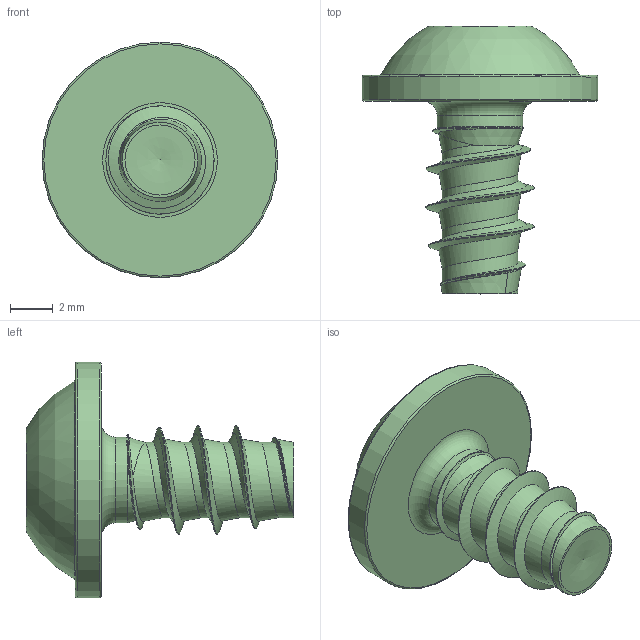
import cadquery as cq
import math


flange_radius = 5.5
flange_thickness = 1.2
flange_edge_round = 0.08
dome_height = 2.3
dome_base_radius = 4.65
dome_base_fillet = 0.06
dome_top_radius = 2.42

shank_length = 9.0
neck_radius = 2.0
neck_fillet = 0.68
neck_length = 1.24
neck_taper_end = 2.06
core_radius = 1.76

dimple_radius = 1.635
dimple_depth = 0.12

pitch = 1.8
crest_depth_at_zero = 2.26
crest_radius = 2.525
lead_in_start_turn = -1.0
ease_start_turn = -0.7
ease_end_turn = 2 * (neck_length - crest_depth_at_zero) / pitch - ease_start_turn
full_height_turn = 0.5
run_out_turn = 2.3
thread_end_turn = 3.65
lead_in_start_radius = 2.05
points_per_turn = 16

crest_half_flat = 0.02
shoulder_drop = 0.37
shoulder_offset = 0.1
root_offset = 0.35
root_drop = crest_radius - core_radius
foot_offset = 0.2
foot_radius = 1.92
foot_drop = crest_radius - foot_radius
tooth_overlap = 0.4
tooth_bottom_drop = root_drop + tooth_overlap

ramp_start_offset = 0.12
ramp_end_offset = 1.1
ramp_start_turn = -0.75
ramp_inner_radius = 1.3
point_taper_start = 7.65


def blend(position, start, end, start_value, end_value):
    """Straight-line value between two positions."""
    fraction = (position - start) / (end - start)
    return start_value + fraction * (end_value - start_value)


def helix_depth(turn):
    return crest_depth_at_zero + pitch * turn


def crest_point(turn):
    """Point on the thread crest: flat lead-in, rising start, full height, run-out."""
    depth = helix_depth(turn)
    if turn < ease_start_turn:
        depth = neck_length
    elif turn < ease_end_turn:
        ease_turns = ease_end_turn - ease_start_turn
        depth = neck_length + pitch * (turn - ease_start_turn) ** 2 / (2 * ease_turns)

    radius = crest_radius
    if turn < full_height_turn:
        radius = blend(turn, lead_in_start_turn, full_height_turn, lead_in_start_radius, crest_radius)
    elif turn > run_out_turn:
        radius = blend(turn, run_out_turn, thread_end_turn, crest_radius, core_radius)
    return on_circle(turn, radius, depth)


def on_circle(turn, radius, depth):
    angle = 2 * math.pi * turn
    return cq.Vector(radius * math.cos(angle), radius * math.sin(angle), depth)


def radial_plane(turn, depth):
    """Plane through the axis: local x is radial, local y is depth."""
    angle = 2 * math.pi * turn
    return cq.Plane(
        origin=(0, 0, depth),
        xDir=(math.cos(angle), math.sin(angle), 0),
        normal=(math.sin(angle), -math.cos(angle), 0),
    )


def make_turned_body():
    """Head, neck and core as one turned profile."""
    dome_base = -flange_thickness
    dome_top = dome_base - dome_height
    sphere_drop = (dome_base_radius**2 - dome_top_radius**2 - dome_height**2) / (2 * dome_height)
    sphere_radius = math.hypot(dome_base_radius, sphere_drop)
    dome_mid_height = dome_height / 2
    dome_mid_radius = math.sqrt(sphere_radius**2 - (sphere_drop + dome_mid_height) ** 2)
    edge = flange_edge_round
    return (
        cq.Workplane("XZ")
        .moveTo(0, dome_top)
        .lineTo(dome_top_radius, dome_top)
        .threePointArc((dome_mid_radius, dome_base - dome_mid_height), (dome_base_radius, dome_base))
        .lineTo(flange_radius - edge, dome_base)
        .radiusArc((flange_radius, dome_base + edge), -edge)
        .lineTo(flange_radius, -edge)
        .radiusArc((flange_radius - edge, 0), -edge)
        .lineTo(neck_radius + neck_fillet, 0)
        .radiusArc((neck_radius, neck_fillet), neck_fillet)
        .lineTo(neck_radius, neck_length)
        .lineTo(core_radius, neck_taper_end)
        .lineTo(core_radius, shank_length)
        .lineTo(0, shank_length)
        .close()
        .revolve(360, (0, 0, 0), (0, 1, 0))
        .edges("%CIRCLE")
        .filter(lambda ring: math.isclose(ring.radius(), dome_base_radius))
        .fillet(dome_base_fillet)
    )


def make_tooth():
    """Thread tooth, swept along its crest."""
    count = round((thread_end_turn - lead_in_start_turn) * points_per_turn)
    step = (thread_end_turn - lead_in_start_turn) / count
    crest = [crest_point(lead_in_start_turn + i * step) for i in range(count + 1)]
    path = cq.Workplane(cq.Edge.makeSpline(crest))
    top = lead_in_start_radius
    bottom = top - tooth_bottom_drop
    bottom_front = blend(tooth_bottom_drop, 0, foot_drop, crest_half_flat, foot_offset)
    bottom_back = blend(tooth_bottom_drop, shoulder_drop, root_drop, shoulder_offset, root_offset)
    return (
        cq.Workplane(radial_plane(lead_in_start_turn, crest[0].z))
        .moveTo(top, -crest_half_flat)
        .lineTo(top, crest_half_flat)
        .lineTo(bottom, bottom_front)
        .lineTo(bottom, -bottom_back)
        .lineTo(top - shoulder_drop, -shoulder_offset)
        .close()
        .sweep(path, isFrenet=True)
    )


def make_ramp():
    """Sloping back of the groove, trimmed by the tapered point."""
    ramp_start_radius = blend(ramp_start_offset, foot_offset, ramp_end_offset, foot_radius, core_radius)
    start_depth = helix_depth(ramp_start_turn)
    helix = cq.Wire.makeHelix(pitch, shank_length - start_depth, core_radius)
    helix = helix.rotate(cq.Vector(), cq.Vector(0, 0, 1), 360 * ramp_start_turn)
    helix = helix.translate(cq.Vector(0, 0, start_depth))
    ramp = (
        cq.Workplane(radial_plane(ramp_start_turn, start_depth))
        .moveTo(ramp_inner_radius, 0)
        .lineTo(ramp_start_radius, ramp_start_offset)
        .lineTo(core_radius, ramp_end_offset)
        .lineTo(ramp_inner_radius, ramp_end_offset)
        .close()
        .sweep(cq.Workplane(helix), isFrenet=True)
    )
    envelope = (
        cq.Workplane("XZ")
        .lineTo(neck_radius, 0)
        .lineTo(neck_radius, point_taper_start)
        .lineTo(core_radius, shank_length)
        .lineTo(0, shank_length)
        .close()
        .revolve(360, (0, 0, 0), (0, 1, 0))
    )
    return ramp.intersect(envelope)


def make_point_trim():
    """Waste beyond the point, with a spherical bulge that leaves the dimple."""
    sphere_radius = (dimple_radius**2 + dimple_depth**2) / (2 * dimple_depth)
    waste_end = helix_depth(thread_end_turn) + pitch
    return (
        cq.Workplane("XZ")
        .moveTo(0, shank_length - dimple_depth)
        .radiusArc((dimple_radius, shank_length), sphere_radius)
        .lineTo(flange_radius, shank_length)
        .lineTo(flange_radius, waste_end)
        .lineTo(0, waste_end)
        .close()
        .revolve(360, (0, 0, 0), (0, 1, 0))
    )


screw = make_turned_body().union(make_ramp()).union(make_tooth()).cut(make_point_trim())
result = screw.rotate((0, 0, 0), (1, 0, 0), 90)